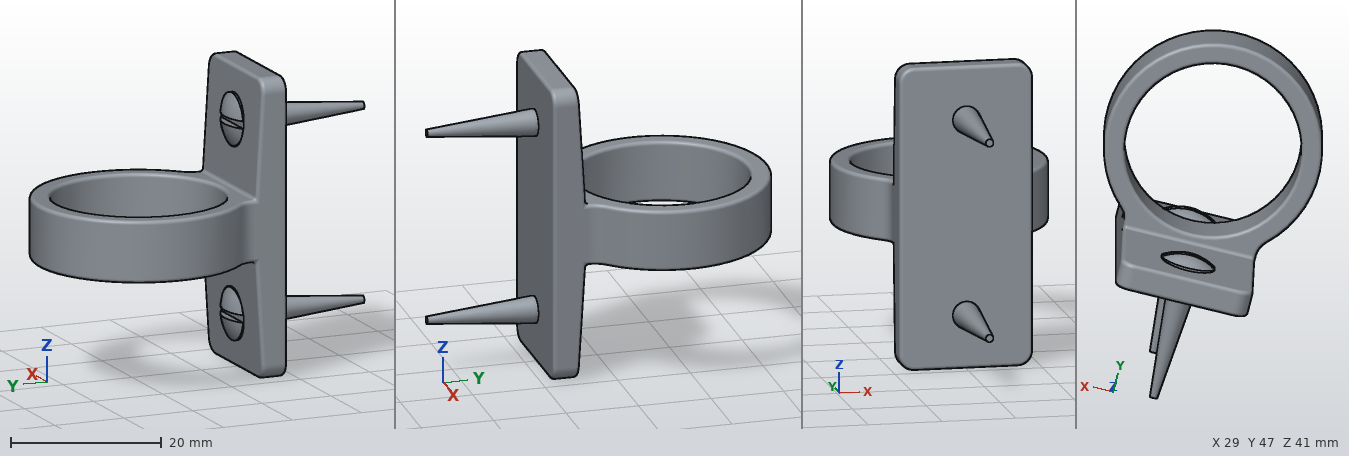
import cadquery as cq
import math

ring_outer_radius = 28.95 / 2
ring_bore_radius = 11.75
ring_height = 8.5
neck_fillet = 3.0

plate_width = 18.0
plate_height = 41.0
plate_front_y = -17.55
plate_end_thickness = 3.5
plate_neck_thickness = 4.5
plate_corner_radius = 2.0
edge_fillet = 0.5

overall_length = 46.95
screw_spacing = 26.45
shank_radius = 1.85
shank_protrusion = 0.5
tip_radius = 0.5
head_radius = 3.65
head_rim_height = 0.55
head_dome_height = 1.1
slot_width = 1.05
slot_depth = 1.15

tip_y = ring_outer_radius - overall_length
head_base_y = plate_front_y + plate_end_thickness
head_rim_y = head_base_y + head_rim_height
head_top_y = head_rim_y + head_dome_height
cone_start_y = plate_front_y - shank_protrusion
screw_heights = [-screw_spacing / 2, screw_spacing / 2]


def make_plate():
    """Tapered plate with rounded vertical outline, extruded across X."""
    half_height = plate_height / 2
    half_ring = ring_height / 2
    end_y = plate_front_y + plate_end_thickness
    neck_y = plate_front_y + plate_neck_thickness
    plate = (
        cq.Workplane("YZ")
        .moveTo(plate_front_y, -half_height)
        .lineTo(end_y, -half_height)
        .lineTo(neck_y, -half_ring)
        .lineTo(neck_y, half_ring)
        .lineTo(end_y, half_height)
        .lineTo(plate_front_y, half_height)
        .close()
        .extrude(plate_width / 2, both=True)
    )
    return plate.edges("|Y").fillet(plate_corner_radius)


def make_ring_and_neck():
    """Ring disc blended by concave arcs into a neck as wide as the plate."""
    half_width = plate_width / 2
    blend_x = half_width + neck_fillet
    blend_y = -math.sqrt((ring_outer_radius + neck_fillet) ** 2 - blend_x**2)
    blend_angle = math.atan2(blend_y, blend_x)
    ring_x = ring_outer_radius * math.cos(blend_angle)
    ring_y = ring_outer_radius * math.sin(blend_angle)
    middle_angle = (math.pi + blend_angle + math.pi) / 2
    middle_x = blend_x + neck_fillet * math.cos(middle_angle)
    middle_y = blend_y + neck_fillet * math.sin(middle_angle)
    root_y = plate_front_y + plate_end_thickness / 2
    return (
        cq.Workplane("XY", origin=(0, 0, -ring_height / 2))
        .moveTo(-half_width, root_y)
        .lineTo(half_width, root_y)
        .lineTo(half_width, blend_y)
        .threePointArc((middle_x, middle_y), (ring_x, ring_y))
        .threePointArc((0, ring_outer_radius), (-ring_x, ring_y))
        .threePointArc((-middle_x, middle_y), (-half_width, blend_y))
        .close()
        .extrude(ring_height)
        .cut(cq.Workplane("XY").circle(ring_bore_radius).extrude(ring_height, both=True))
    )


def make_screw(height, slotted=True):
    """Screw along Y, turned from a half profile, with a slot along X in its head."""
    dome_radius = (head_radius**2 + head_dome_height**2) / (2 * head_dome_height)
    dome_middle_x = head_radius / 2
    dome_middle_y = head_top_y - dome_radius + math.sqrt(dome_radius**2 - dome_middle_x**2)
    screw = (
        cq.Workplane("XY")
        .moveTo(0, tip_y)
        .lineTo(tip_radius, tip_y)
        .lineTo(shank_radius, cone_start_y)
        .lineTo(shank_radius, head_base_y)
        .lineTo(head_radius, head_base_y)
        .lineTo(head_radius, head_rim_y)
        .threePointArc((dome_middle_x, dome_middle_y), (0, head_top_y))
        .close()
        .revolve(360, (0, 0, 0), (0, 1, 0))
    )
    if slotted:
        slot_centre_y = head_top_y - slot_depth / 2
        slot = cq.Workplane("XY").box(2 * head_radius, slot_depth, slot_width)
        screw = screw.cut(slot.translate((0, slot_centre_y, 0)))
    return screw.translate((0, 0, height))


def root_edges(body):
    """The two concave edges along X where the plate's back face meets the neck."""
    neck_y = plate_front_y + plate_neck_thickness
    neck_zone = cq.selectors.BoxSelector(
        (-plate_width, neck_y - edge_fillet, -ring_height / 2 - edge_fillet),
        (plate_width, neck_y + edge_fillet, ring_height / 2 + edge_fillet),
    )
    return body.edges(neck_zone).edges("|X")


def make_holder():
    """Ring and plate as one body, edges rounded, with seats for the screws."""
    holder = make_plate().union(make_ring_and_neck()).clean()
    profile_edges = holder.edges("not(|Z or |Y)").objects
    roots = root_edges(holder).objects
    outer_edges = [edge for edge in profile_edges if edge not in roots]
    holder = holder.newObject(outer_edges).fillet(edge_fillet)
    holder = root_edges(holder).fillet(edge_fillet)
    for height in screw_heights:
        holder = holder.cut(make_screw(height, slotted=False))
    return holder


holder = make_holder()
screws = [make_screw(height) for height in screw_heights]
result = cq.Compound.makeCompound([holder.val(), *[screw.val() for screw in screws]])